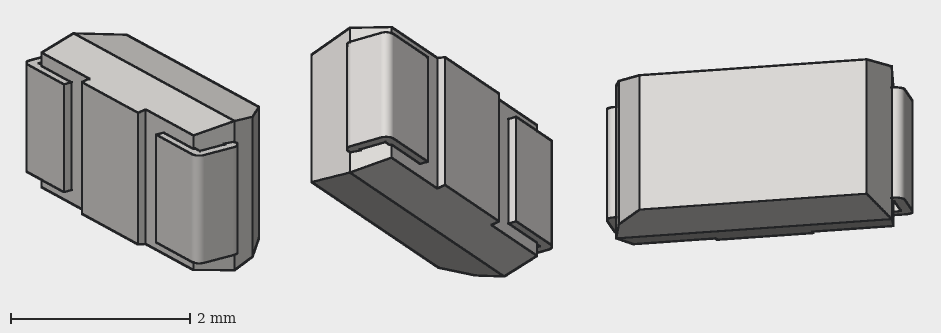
import cadquery as cq
import math

overall_depth = 1.21
housing_length = 3.145
housing_height = 1.8
parting_y = 0.6
recessed_base_y = 0.102
draft_angle = 10.0
pad_length = 1.1

left_end_inset = 0.153
right_end_inset = 0.1
bevel_length = 0.303
bevel_depth = 0.3

lead_span = 3.4
lead_width = 1.3
lead_thickness = 0.125
foot_length = 0.8
bend_radius = 0.1
arm_embed = 0.1

half_length = housing_length / 2
half_height = housing_height / 2
draft_slope = math.tan(math.radians(draft_angle))


def extrude_along_z(outline, height):
    """Prism of an XY outline, centred on z = 0."""
    return outline.extrude(height / 2, both=True)


def drafted_prism_along_x(end_y):
    """Bar that tapers in height from the parting plane to end_y."""
    end_half_height = half_height - abs(end_y - parting_y) * draft_slope
    return (
        cq.Workplane("YZ")
        .polyline([
            (parting_y, -half_height),
            (parting_y, half_height),
            (end_y, end_half_height),
            (end_y, -end_half_height),
        ])
        .close()
        .extrude(half_length, both=True)
    )


def make_upper_housing():
    bevel_start_x = half_length - right_end_inset
    outline = (
        cq.Workplane("XY")
        .polyline([
            (-half_length, parting_y),
            (half_length, parting_y),
            (bevel_start_x, overall_depth - bevel_depth),
            (bevel_start_x - bevel_length, overall_depth),
            (-half_length + left_end_inset, overall_depth),
        ])
        .close()
    )
    return extrude_along_z(outline, housing_height).intersect(drafted_prism_along_x(overall_depth))


def make_lower_housing(leads):
    base_half_length = half_length - (parting_y - recessed_base_y) * draft_slope
    outline = (
        cq.Workplane("XY")
        .polyline([
            (-half_length, parting_y),
            (half_length, parting_y),
            (base_half_length, recessed_base_y),
            (pad_length / 2, recessed_base_y),
            (pad_length / 2, 0),
            (-pad_length / 2, 0),
            (-pad_length / 2, recessed_base_y),
            (-base_half_length, recessed_base_y),
        ])
        .close()
    )
    housing = extrude_along_z(outline, housing_height).intersect(drafted_prism_along_x(0))
    for lead in leads:
        housing = housing.cut(lead)
    return housing


def make_lead(side):
    """C-shaped strip at the end given by side: -1 for left, 1 for right."""
    outer_x = side * lead_span / 2
    inner_x = outer_x - side * lead_thickness
    foot_end_x = outer_x - side * foot_length
    arm_end_x = side * (half_length - arm_embed)
    arm_bottom_y = parting_y - lead_thickness
    outline = (
        cq.Workplane("XY")
        .polyline([
            (foot_end_x, 0),
            (outer_x, 0),
            (outer_x, parting_y),
            (arm_end_x, parting_y),
            (arm_end_x, arm_bottom_y),
            (inner_x, arm_bottom_y),
            (inner_x, lead_thickness),
            (foot_end_x, lead_thickness),
        ])
        .close()
    )
    outer_face = ">X" if side > 0 else "<X"
    return extrude_along_z(outline, lead_width).faces(outer_face).edges("|Z").fillet(bend_radius)


leads = [make_lead(side) for side in (-1, 1)]
upper_housing = make_upper_housing()
lower_housing = make_lower_housing(leads)

result = cq.Compound.makeCompound([
    upper_housing.solids().val(),
    lower_housing.solids().val(),
    *[lead.solids().val() for lead in leads],
])